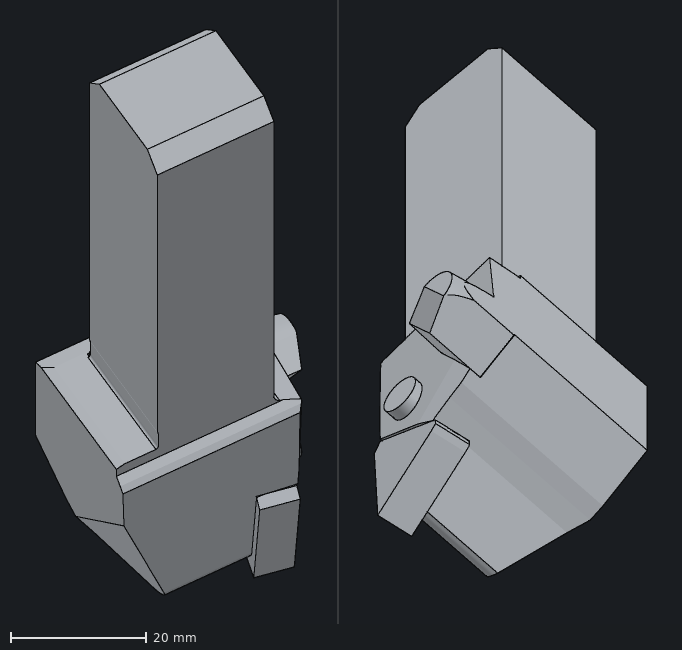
import cadquery as cq
import math

height = 105
shank_width = 20.0
shank_left = 3.8
shank_right = shank_left + shank_width
shank_front = 7.0
shank_back = shank_front + shank_width
shank_base = 32.0
shank_chamfer = 2.9
relief_depth = 0.2
relief_top = 40.1
relief_run = 0.7

left_blend = (-0.9, 1.2, 0.2)
front_blend = (-0.6, 0.5, 0.02)
back_blend = (1.3, 1.0, 0.4)
blend_root = 1

foot_top = 36.0
foot_depth = 33.8
back_edge_y = 33.6
foot_left_top = 35.1
foot_flat_left = 2.9
foot_left_bottom = 17.3
side_ledge = 33.9
side_bend_x = 25.0
side_bend_z = 32.8
side_shoulder_x = 25.7
side_shoulder_z = 31.8
tip_right = 27.0
tip_left = 24.8
tip_bottom = 3.5
tip_radius = 1.6
heel_x = 9.1
heel_z = 12.0
toe_x = 15.1
toe_z = 9.5
front_bevel = 1.5
front_bevel_drop = 0.4
back_top_start = 34.3
back_top_end = 32.5
back_lean_x = math.radians(5.5)
back_lean_z = math.radians(5)
corner_start = (24.8, 31.2)
corner_end = (26.5, 29.7)
floor_back_y = 27.5
floor_lean = 0.225
reach = 63

facet_left = (11.8, 10.9)
facet_right = (25.8, 24.3)
facet_angle = math.radians(23.5)

nose_tip_y = 41.2
nose_root_y = 33.0
nose_base_y = 28.4
nose_tip_radius = 8.0 / 2
nose_root_radius = 5.7
nose_center = (4.4, 19.1)
nose_slope = math.radians(30)
nose_length = 5.2
nose_bevel_start = -0.3
nose_bevel_y = 39.2

pad_diameter = 6.5
pad_center = (20.0, 18.4)
pad_back = 32.1
pad_length = 4.2

insert_tip_y = 27.5
insert_tip_x = 29.0
insert_lean = 0.09
insert_axis = cq.Vector(-0.6, -6.6, 0.9)
insert_outline = [(insert_tip_x, 0), (28.4, 14.8), (26.9, 16.3), (15.1, 8.9), (15.1, 8.0), (16.2, 7.2)]


def prism_y(points, y_start, y_end):
    """Extrude an XZ outline from y_start to y_end."""
    plane = cq.Workplane("XZ", origin=(0, y_start, 0))
    return plane.polyline(points).close().extrude(y_start - y_end)


def make_shank():
    bar = cq.Workplane("XY").box(
        shank_width, shank_width, height - shank_base, centered=False
    ).translate((shank_left, shank_front, shank_base))
    bar = bar.faces(">Z").edges("|Y").chamfer(shank_chamfer)
    relief = (
        cq.Workplane("YZ", origin=(shank_left, 0, 0))
        .polyline([
            (shank_front, relief_top),
            (shank_front + relief_depth, relief_top - relief_run),
            (shank_front + relief_depth, foot_top),
            (shank_front, foot_top),
        ])
        .close()
        .extrude(shank_width)
    )
    return bar.cut(relief)


def corner_fillet(plane, origin, size_out, size_up, drop):
    """Concave blend in the corner between an upright face and the foot top."""
    middle = 1 - math.sqrt(0.5)
    return (
        cq.Workplane(plane, origin=origin)
        .moveTo(0, size_up)
        .threePointArc((size_out * middle, size_up * middle), (size_out, -drop))
        .lineTo(size_out, -drop - blend_root)
        .lineTo(0, -drop - blend_root)
        .close()
        .extrude(shank_width)
    )


def make_blends():
    left = corner_fillet("XZ", (shank_left, shank_back, foot_top), *left_blend)
    front = corner_fillet(
        "YZ", (shank_left, shank_front + relief_depth, foot_top), *front_blend
    )
    back = corner_fillet("YZ", (shank_left, shank_back, back_top_start), *back_blend)
    return left.union(front).union(back)


def make_foot():
    body = prism_y([
        (0, foot_left_bottom), (0, foot_left_top), (foot_flat_left, foot_top),
        (shank_right, foot_top), (shank_right, side_ledge), (side_bend_x, side_bend_z),
        (side_shoulder_x, side_shoulder_z), (tip_right, tip_bottom), (tip_left, tip_bottom),
        (toe_x, toe_z), facet_left, (heel_x, heel_z),
    ], 0, foot_depth)
    tip_edge = cq.selectors.NearestToPointSelector((tip_right, foot_depth / 2, tip_bottom))
    body = body.edges(tip_edge).fillet(tip_radius)
    side = (
        cq.Workplane("YZ")
        .polyline([
            (0, 0), (0, foot_top - front_bevel_drop), (front_bevel, foot_top),
            (shank_back, foot_top), (shank_back, back_top_start), (foot_depth, back_top_end),
            (floor_back_y + floor_lean * back_top_end, back_top_end), (floor_back_y, 0),
        ])
        .close()
        .extrude(reach)
    )
    return body.intersect(side)


def back_cutter():
    """Everything behind the back face, which leans about two axes, and its chamfered corner."""
    normal = cq.Vector(math.tan(back_lean_x), 1, -math.tan(back_lean_z))
    plane = cq.Plane(
        origin=(0, back_edge_y, back_top_end), xDir=(1, -math.tan(back_lean_x), 0), normal=normal
    )
    corner = (
        cq.Workplane("XY")
        .polyline([
            corner_start, corner_end, (reach, corner_end[1]), (reach, reach), (corner_start[0], reach)
        ])
        .close()
        .extrude(reach)
    )
    return cq.Workplane(plane).rect(2 * reach, 2 * reach).extrude(reach).union(corner)


def facet_cutter():
    """Wedge that starts on a slanting line of the front face and deepens towards the tip."""
    run = facet_right[0] - facet_left[0]
    rise = facet_right[1] - facet_left[1]
    plane = cq.Plane(
        origin=(facet_left[0], 0, facet_left[1]), xDir=(rise, 0, -run), normal=(run, 0, rise)
    )
    wedge = cq.Workplane(plane).polyline([(0, 0), (reach, 0), (reach, reach * math.tan(facet_angle))])
    return wedge.close().extrude(reach, both=True)


def nose_wire(y, radius):
    """Tongue outline at depth y: a half circle continued by two parallel lines down the slope."""
    slope_direction = (math.cos(nose_slope), 0, -math.sin(nose_slope))
    plane = cq.Plane(
        origin=(nose_center[0], y, nose_center[1]), xDir=slope_direction, normal=(0, -1, 0)
    )
    return (
        cq.Workplane(plane)
        .moveTo(0, -radius)
        .lineTo(nose_length, -radius)
        .lineTo(nose_length, radius)
        .lineTo(0, radius)
        .threePointArc((-radius, 0), (0, -radius))
        .close()
        .val()
    )


def make_nose():
    growth = (nose_root_radius - nose_tip_radius) / (nose_tip_y - nose_root_y)
    base_radius = nose_root_radius + growth * (nose_root_y - nose_base_y)
    nose = cq.Workplane(cq.Solid.makeLoft(
        [nose_wire(nose_base_y, base_radius), nose_wire(nose_tip_y, nose_tip_radius)], True
    ))
    plane = cq.Plane(
        origin=(nose_center[0], 0, nose_center[1]),
        xDir=(math.cos(nose_slope), 0, -math.sin(nose_slope)),
        normal=(math.sin(nose_slope), 0, math.cos(nose_slope)),
    )
    limits = (
        cq.Workplane(plane)
        .workplane(offset=-nose_tip_radius)
        .polyline([
            (-reach, 0), (-reach, nose_tip_y), (nose_bevel_start, nose_tip_y),
            (nose_length, nose_bevel_y), (nose_length, 0),
        ])
        .close()
        .extrude(reach)
    )
    outer_side = cq.Workplane("XY").box(reach, reach, reach, centered=False)
    return nose.intersect(limits).intersect(outer_side)


def make_pad():
    plane = cq.Workplane("XZ", origin=(0, pad_back, 0)).center(*pad_center)
    return plane.circle(pad_diameter / 2).extrude(pad_length)


def insert_prism(direction):
    points = [
        cq.Vector(x, insert_tip_y + insert_lean * (z + insert_tip_x - x), z) for x, z in insert_outline
    ]
    outline = cq.Wire.makePolygon(points, close=True)
    return cq.Workplane(cq.Solid.extrudeLinear(outline, [], direction))


def make_holder():
    foot = make_foot().cut(back_cutter()).cut(facet_cutter())
    foot = foot.union(make_pad()).union(make_nose())
    holder = foot.union(make_shank()).union(make_blends())
    return holder.cut(insert_prism(insert_axis)).cut(insert_prism(insert_axis * -1))


holder = make_holder()
insert = insert_prism(insert_axis)

result = cq.Compound.makeCompound([holder.val(), insert.val()])